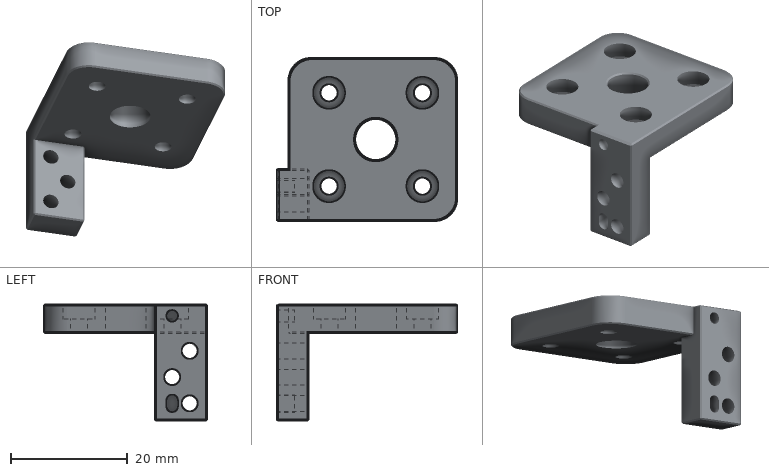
import cadquery as cq

length_x = 31.0
width_y = 28.0
height_z = 20.0

plate_left = 2.0
plate_thickness = 5.0
plate_corner_radius = 4.0
plate_bottom = height_z - plate_thickness

arm_thickness = 5.5
arm_width = 9.0

edge_chamfer = 0.25
top_bevel_width = 0.5

bore_center = (17.0, 14.0)
bore_diameter = 7.0
bore_chamfer_angle = 90.0
screw_spacing = 16.0
screw_diameter = 2.9
counterbore_diameter = 5.5
counterbore_depth = 2.5

front_row_y = 3.0
rear_row_y = 6.0
lower_hole_z = 3.0
middle_hole_z = 7.5
upper_hole_z = 12.0
arm_hole_diameter = 2.7
arm_hole_centers = [
    (front_row_y, lower_hole_z),
    (rear_row_y, middle_hole_z),
    (front_row_y, upper_hole_z),
]

pin_diameter = 2.0
pin_hole_z = 18.0
pin_slot_length = 3.0
pin_depth = 3.0
slot_angle = 90.0


def box(x_min, x_max, y_max, z_min):
    """Block from the front face y = 0 back to y_max, and from z_min up to the top face."""
    block = cq.Workplane("XY").box(x_max - x_min, y_max, height_z - z_min, centered=False)
    return block.translate((x_min, 0, z_min))


def make_plate():
    """Plate with three rounded corners, chamfered around its top and bottom faces."""
    plate = box(plate_left, length_x, width_y, plate_bottom)
    plate = plate.edges("|Z and (>X or >Y)").fillet(plate_corner_radius)
    return plate.faces("<Z or >Z").edges().chamfer(edge_chamfer)


def make_arm():
    """Arm with every edge chamfered, and a flatter bevel where its outer face meets the top."""
    arm = box(0, arm_thickness, arm_width, 0).edges().chamfer(edge_chamfer)
    bevel = (
        cq.Workplane("XZ")
        .moveTo(0, height_z - edge_chamfer)
        .lineTo(top_bevel_width, height_z)
        .lineTo(0, height_z)
        .close()
        .extrude(-arm_width)
    )
    return arm.cut(bevel)


def cut_plate_holes(body):
    """Centre bore, chamfered at the top, and a square of counterbored screw holes."""
    bore_top = body.faces(">Z").workplane(origin=(*bore_center, height_z))
    body = bore_top.cskHole(bore_diameter, bore_diameter + 2 * edge_chamfer, bore_chamfer_angle)
    return (
        body.faces(">Z").workplane(origin=(*bore_center, height_z))
        .rect(screw_spacing, screw_spacing, forConstruction=True).vertices()
        .cboreHole(screw_diameter, counterbore_diameter, counterbore_depth)
    )


def cut_arm_holes(body):
    """Three through holes, and a blind round hole and upright slot for locating pins."""
    outer_face = cq.Workplane("YZ")
    screw_holes = outer_face.pushPoints(arm_hole_centers).circle(arm_hole_diameter / 2).extrude(arm_thickness)
    pin_hole = outer_face.center(rear_row_y, pin_hole_z).circle(pin_diameter / 2).extrude(pin_depth)
    pin_slot = (
        outer_face.center(rear_row_y, lower_hole_z)
        .slot2D(pin_slot_length, pin_diameter, slot_angle).extrude(pin_depth)
    )
    return body.cut(screw_holes).cut(pin_hole).cut(pin_slot)


result = cut_arm_holes(cut_plate_holes(make_plate().union(make_arm())))